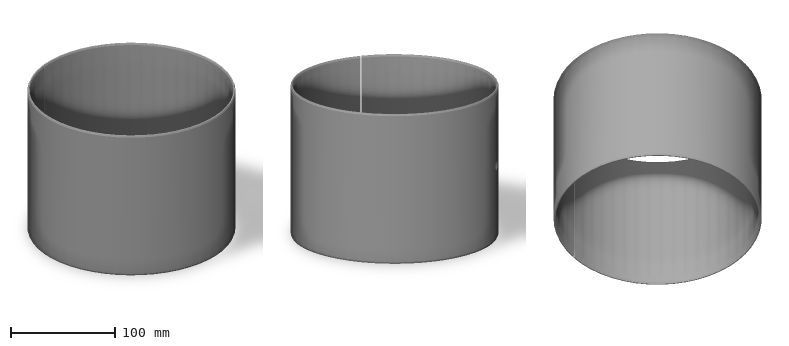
import cadquery as cq

outer_diameter = 200.0
height = 150.0
wall = 2.5
rim_chamfer_height = 1.7
rim_chamfer_depth = 0.65
seam_angle = 1.0
hole_diameter = 10.0
hole_angle = 59.0

outer_radius = outer_diameter / 2
inner_radius = outer_radius - wall
half_height = height / 2


def rolled_shell():
    """Wall profile swept around Z from the -X side, stopping short to leave the seam."""
    shoulder_z = half_height - rim_chamfer_height
    rim_outer_radius = outer_radius - rim_chamfer_depth
    rim_inner_radius = inner_radius + rim_chamfer_depth
    profile = [
        (-inner_radius, -shoulder_z),
        (-rim_inner_radius, -half_height),
        (-rim_outer_radius, -half_height),
        (-outer_radius, -shoulder_z),
        (-outer_radius, shoulder_z),
        (-rim_outer_radius, half_height),
        (-rim_inner_radius, half_height),
        (-inner_radius, shoulder_z),
    ]
    return (
        cq.Workplane("XZ")
        .polyline(profile)
        .close()
        .revolve(360 - seam_angle, (0, 0, 0), (0, 1, 0))
    )


def radial_hole():
    """Cutter running outwards from the Z axis at mid height, through one side only."""
    return (
        cq.Workplane("YZ")
        .circle(hole_diameter / 2)
        .extrude(outer_diameter)
        .rotate((0, 0, 0), (0, 0, 1), hole_angle)
    )


result = rolled_shell().cut(radial_hole())